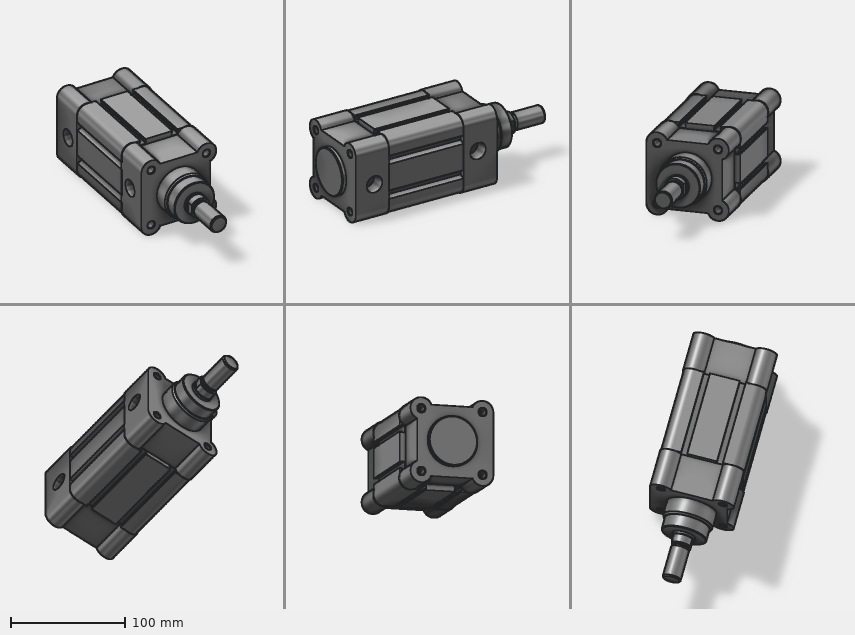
import cadquery as cq


TOTAL_LENGTH = 219
BOSS_LENGTH = 4.2
CAP_LENGTH = 34.4
TUBE_LENGTH = 77.0
COLLAR_LENGTH = 15.5
NUT_LENGTH = 11.4

CAP_WIDTH = 76.0
EAR_OFFSET = 28.0
EAR_RADIUS = CAP_WIDTH / 2 - EAR_OFFSET
CAP_WAIST = 63.7
BOLT_HOLE_DIAMETER = 6.5
BOLT_HOLE_CHAMFER = 0.7
BOLT_HOLE_DEPTH = 13.1
PORT_DIAMETER = 16.0
PORT_DEPTH = 13.1
REAR_PORT_INSET = 19.3
FRONT_PORT_INSET = 19.7
PORT_SHIFT = 2.5

BOSS_DIAMETER = 44.7
BOSS_CHAMFER = 0.9
COLLAR_TAPER_LENGTH = 2.0
COLLAR_TAPER_DEPTH = 1.0
NUT_DIAMETER = 40.7
NUT_CHAMFER = 0.7

TUBE_WIDTH = 74.7
SLOT_DEPTH = 4.5
T_SLOT_OFFSET = 16.2
T_SLOT_MOUTH = 5.3
T_SLOT_FLOOR = 6.5
T_SLOT_LIP = 1.8
V_SLOT_OFFSET = 16.9
V_SLOT_MOUTH = 7.9
V_SLOT_FLOOR = 3.7

FLANGE_DIAMETER = 20.5
FLANGE_LENGTH = 2.6
FLANGE_CHAMFER = 0.5
SHANK_DIAMETER = 19.7
SHANK_LENGTH = 7.2
FLATS_WIDTH = 16.9
FLATS_LENGTH = 6.5
NECK_START_DIAMETER = 15.8
NECK_DIAMETER = 14.5
NECK_REAR_LENGTH = 1.3
NECK_FRONT_LENGTH = 2.0
THREAD_DIAMETER = 16.5
TIP_LENGTH = 1.3
TIP_DIAMETER = 14.5

REAR_CAP_X = BOSS_LENGTH
TUBE_X = REAR_CAP_X + CAP_LENGTH
FRONT_CAP_X = TUBE_X + TUBE_LENGTH
COLLAR_X = FRONT_CAP_X + CAP_LENGTH
NUT_X = COLLAR_X + COLLAR_LENGTH
ROD_X = NUT_X + NUT_LENGTH
SHANK_X = ROD_X + FLANGE_LENGTH
NECK_X = SHANK_X + SHANK_LENGTH


def section_plane(x):
    """Plane across the axis at x: its local x is Y, its local y is Z and it faces +X."""
    return cq.Workplane("YZ", origin=(x, 0, 0))


def turned(profile, plane):
    """Turn a closed profile of (x, radius) points, drawn in the given plane, about the X axis."""
    return cq.Workplane(plane).polyline(profile).close().revolve(360, (0, 0, 0), (1, 0, 0))


def cap_block(start_x):
    """Cap with four round ears; set back between them on +Y, +Z and -Z, flush with them on -Y."""
    core = section_plane(start_x).rect(CAP_WAIST, CAP_WAIST).extrude(CAP_LENGTH)
    ears = (
        section_plane(start_x)
        .rect(2 * EAR_OFFSET, 2 * EAR_OFFSET, forConstruction=True)
        .vertices()
        .circle(EAR_RADIUS)
        .extrude(CAP_LENGTH)
    )
    port_side = (
        section_plane(start_x)
        .center(-EAR_OFFSET, 0)
        .rect(2 * EAR_RADIUS, 2 * EAR_OFFSET)
        .extrude(CAP_LENGTH)
    )
    return core.union(ears).union(port_side)


def bolt_holes(face_x, inward):
    """Four blind, chamfered holes from the cap face at face_x; inward is +1 or -1 along X."""
    radius = BOLT_HOLE_DIAMETER / 2
    mouth_radius = radius + BOLT_HOLE_CHAMFER
    chamfer_end_x = face_x + inward * BOLT_HOLE_CHAMFER
    hole_end_x = face_x + inward * BOLT_HOLE_DEPTH
    hole = turned(
        [
            (face_x, 0),
            (face_x, mouth_radius),
            (chamfer_end_x, radius),
            (hole_end_x, radius),
            (hole_end_x, 0),
        ],
        "XZ",
    )
    holes = cq.Workplane()
    for y in (-EAR_OFFSET, EAR_OFFSET):
        for z in (-EAR_OFFSET, EAR_OFFSET):
            holes = holes.add(hole.translate((0, y, z)))
    return holes.combine()


def port(x, z):
    """Blind air port entering a cap from its -Y face."""
    return (
        cq.Workplane(cq.Plane(origin=(x, -CAP_WIDTH / 2, z), xDir=(0, 0, -1), normal=(0, 1, 0)))
        .circle(PORT_DIAMETER / 2)
        .extrude(PORT_DEPTH)
    )


def make_rear_cap():
    boss_radius = BOSS_DIAMETER / 2
    boss = turned(
        [
            (0, 0),
            (0, boss_radius - BOSS_CHAMFER),
            (BOSS_CHAMFER, boss_radius),
            (REAR_CAP_X, boss_radius),
            (REAR_CAP_X, 0),
        ],
        "XZ",
    )
    return (
        cap_block(REAR_CAP_X)
        .union(boss)
        .cut(bolt_holes(REAR_CAP_X, 1))
        .cut(port(REAR_CAP_X + REAR_PORT_INSET, -PORT_SHIFT))
    )


def make_front_cap():
    """Front cap with its collar and the nut ring around the rod."""
    collar_radius = BOSS_DIAMETER / 2
    nut_radius = NUT_DIAMETER / 2
    nose = turned(
        [
            (COLLAR_X, 0),
            (COLLAR_X, collar_radius),
            (NUT_X - COLLAR_TAPER_LENGTH, collar_radius),
            (NUT_X, collar_radius - COLLAR_TAPER_DEPTH),
            (NUT_X, nut_radius),
            (ROD_X - NUT_CHAMFER, nut_radius),
            (ROD_X, nut_radius - NUT_CHAMFER),
            (ROD_X, 0),
        ],
        "XZ",
    )
    return (
        cap_block(FRONT_CAP_X)
        .union(nose)
        .cut(bolt_holes(COLLAR_X, -1))
        .cut(port(COLLAR_X - FRONT_PORT_INSET, PORT_SHIFT))
    )


def t_slots():
    """Pair of T-slots along the +Z face of the tube."""
    face_z = TUBE_WIDTH / 2
    undercut_height = SLOT_DEPTH - T_SLOT_LIP
    centres = [(-T_SLOT_OFFSET, 0), (T_SLOT_OFFSET, 0)]
    mouths = (
        section_plane(TUBE_X)
        .center(0, face_z - SLOT_DEPTH / 2)
        .pushPoints(centres)
        .rect(T_SLOT_MOUTH, SLOT_DEPTH)
        .extrude(TUBE_LENGTH)
    )
    undercuts = (
        section_plane(TUBE_X)
        .center(0, face_z - SLOT_DEPTH + undercut_height / 2)
        .pushPoints(centres)
        .rect(T_SLOT_FLOOR, undercut_height)
        .extrude(TUBE_LENGTH)
    )
    return mouths.union(undercuts)


def v_slot(z):
    """Slot along the -Y face of the tube, narrowing towards its floor."""
    face_y = -TUBE_WIDTH / 2
    floor_y = face_y + SLOT_DEPTH
    return (
        section_plane(TUBE_X)
        .polyline(
            [
                (face_y, z - V_SLOT_MOUTH / 2),
                (floor_y, z - V_SLOT_FLOOR / 2),
                (floor_y, z + V_SLOT_FLOOR / 2),
                (face_y, z + V_SLOT_MOUTH / 2),
            ]
        )
        .close()
        .extrude(TUBE_LENGTH)
    )


def make_tube():
    tube = section_plane(TUBE_X).rect(TUBE_WIDTH, TUBE_WIDTH).extrude(TUBE_LENGTH)
    tube = tube.edges("|X").fillet(TUBE_WIDTH / 2 - EAR_OFFSET)
    for angle in (0, -90, 180):
        tube = tube.cut(t_slots().rotate((0, 0, 0), (1, 0, 0), angle))
    for z in (-V_SLOT_OFFSET, V_SLOT_OFFSET):
        tube = tube.cut(v_slot(z))
    return tube


def make_rod():
    """Rod end standing on the nut ring: flange, shank with wrench flats, neck and plain thread."""
    flange_radius = FLANGE_DIAMETER / 2
    shank_radius = SHANK_DIAMETER / 2
    neck_bottom_x = NECK_X + NECK_REAR_LENGTH
    thread_radius = THREAD_DIAMETER / 2
    rod = turned(
        [
            (ROD_X, 0),
            (ROD_X, flange_radius),
            (SHANK_X - FLANGE_CHAMFER, flange_radius),
            (SHANK_X, shank_radius),
            (NECK_X, shank_radius),
            (NECK_X, NECK_START_DIAMETER / 2),
            (neck_bottom_x, NECK_DIAMETER / 2),
            (neck_bottom_x + NECK_FRONT_LENGTH, thread_radius),
            (TOTAL_LENGTH - TIP_LENGTH, thread_radius),
            (TOTAL_LENGTH, TIP_DIAMETER / 2),
            (TOTAL_LENGTH, 0),
        ],
        "XY",
    )
    flat_depth = shank_radius - FLATS_WIDTH / 2
    for side in (-1, 1):
        flat = cq.Workplane(
            origin=(NECK_X - FLATS_LENGTH / 2, side * (FLATS_WIDTH + flat_depth) / 2, 0)
        ).box(FLATS_LENGTH, flat_depth, SHANK_DIAMETER)
        rod = rod.cut(flat)
    return rod


rear_cap = make_rear_cap()
tube = make_tube()
front_cap = make_front_cap()
rod = make_rod()

result = cq.Compound.makeCompound([rear_cap.val(), tube.val(), front_cap.val(), rod.val()])